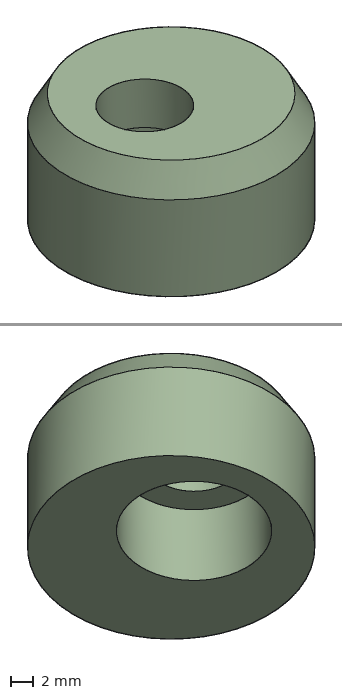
import cadquery as cq
import math

outer_diameter = 25.0
height = 13.0
shoulder_height = 3.0
shoulder_angle = 30.0
shoulder_inset = shoulder_height * math.tan(math.radians(shoulder_angle))

hole_diameter = 8.5
hole_offset_y = -3.0
hole_length = 5.0
counterbore_diameter = 13.5
counterbore_depth = height - hole_length


def make_body():
    """Cylinder standing on Z = 0 with its top edge cut to a cone."""
    cylinder = cq.Workplane("XY").circle(outer_diameter / 2).extrude(height)
    return cylinder.faces(">Z").chamfer(shoulder_height, shoulder_inset)


def make_bore(diameter, depth):
    """Cylinder on the hole axis, rising from the base."""
    return cq.Workplane("XY").center(0, hole_offset_y).circle(diameter / 2).extrude(depth)


through_hole = make_bore(hole_diameter, height)
counterbore = make_bore(counterbore_diameter, counterbore_depth)
result = make_body().cut(through_hole).cut(counterbore)